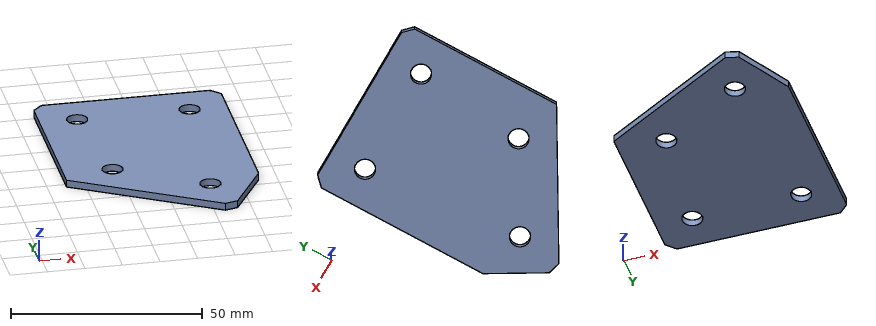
import cadquery as cq
import math

width = 50.0
height = 66.85
thickness = 2.0
corner_cut = 2.55
left_edge_bottom = 21.85
tilt = math.radians(30)

hole_diameter = 5.5
hole_inset = 10.0
lower_hole_x = 13.1
lower_hole_y = 25.95
lower_hole_pitch = 26.95

tip_x = left_edge_bottom / math.tan(tilt)
cut_length = corner_cut * math.sqrt(2)
cut_angle = math.radians(45) - tilt
cut_end_x = tip_x + cut_length * math.cos(cut_angle)
cut_end_y = cut_length * math.sin(cut_angle)
right_edge_bottom = cut_end_y + (width - cut_end_x) / math.tan(tilt)

outline = [
    (0, left_edge_bottom),
    (tip_x, 0),
    (cut_end_x, cut_end_y),
    (width, right_edge_bottom),
    (width, height - corner_cut),
    (width - corner_cut, height),
    (corner_cut, height),
    (0, height - corner_cut),
]

upper_holes = [(x, height - hole_inset) for x in (hole_inset, width - hole_inset)]
lower_holes = [
    (lower_hole_x, lower_hole_y),
    (
        lower_hole_x + lower_hole_pitch * math.cos(tilt),
        lower_hole_y - lower_hole_pitch * math.sin(tilt),
    ),
]

plate = cq.Workplane("XY").polyline(outline).close().extrude(thickness)
holes = (
    cq.Workplane("XY")
    .pushPoints(upper_holes + lower_holes)
    .circle(hole_diameter / 2)
    .extrude(thickness)
)

result = plate.cut(holes)